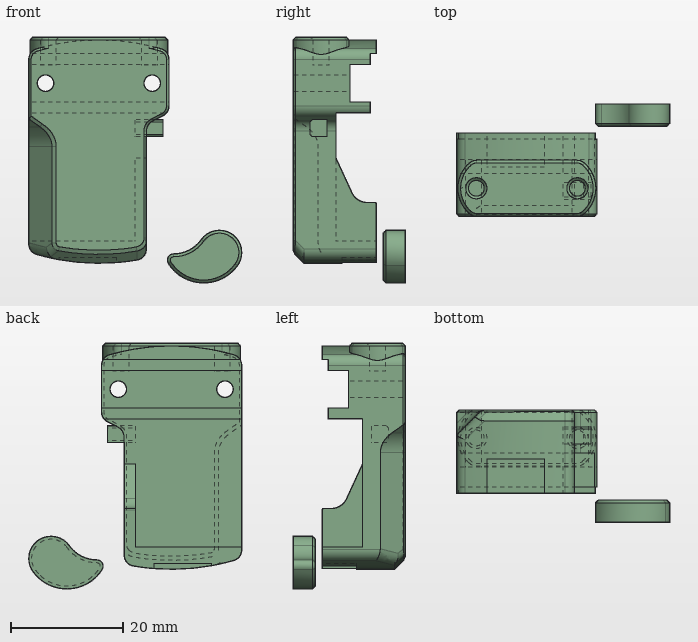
import cadquery as cq
import math


WIDTH = 25.0
CREST_HEIGHT = 39.8
CROWN = 2.0
CORNER_RADIUS = 2.0
GRIP_WIDTH = 21.0
SHOULDER_TOP = 26.85
SHOULDER_BOTTOM = 24.8

DEPTH = 14.85
LIP_BOTTOM = 37.35
TAB_DEPTH = 13.75
SLOT_DEPTH = 10.15
SLOT_TOP = 35.4
SLOT_BOTTOM = 28.78
TAB_BOTTOM = 26.8
GRIP_DEPTH = 7.65
REST_HEIGHT = 10.85
REST_SLOPE_TOP = 18.75
REST_SLOPE_RUN = 3.65
REST_RADIUS = 3.0
REST_EDGE_RADIUS = 0.25

SHELF_HEIGHT = 4.0
WALL = 2.0
RECESS_WIDTH = 10.25
RECESS_LENGTH = 6.1
RECESS_HEIGHT = 1.0

BOTTOM_BEVEL = 1.93
FRONT_BEVEL = 0.45

SCOOP_LEG = 4.45
SCOOP_TOP = 26.0
SCOOP_RADIUS = 5.0
SCOOP_FILLET = 2.0

PLATFORM_DEPTH = 10.0
PLATFORM_INSET = 0.2
PLATFORM_END_RADIUS = 6.0
PLATFORM_CORNER_RADIUS = 2.0
PLATFORM_BEVEL = 0.5
PLATFORM_HEIGHT = 4.4

TOP_HOLE_DIAMETER = 2.8
TOP_HOLE_SPACING = 18.0
TOP_HOLE_DEPTH = 5.0
TOP_HOLE_BEVEL = 0.5
FRONT_HOLE_DIAMETER = 2.9
FRONT_HOLE_SPACING = 19.0
FRONT_HOLE_HEIGHT = 32.1

BUTTON_SIZE = 3.02
BUTTON_END = 23.95
BUTTON_FRONT = 3.02
BUTTON_HEIGHT = 24.1
BUTTON_BEVEL = 0.4

LEVER_FRONT = 16.05
LEVER_THICKNESS = 4.0
LEVER_BEVEL = 0.53
HEAD_X = 34.0
HEAD_Z = 1.93
HEAD_RADIUS = 4.0
BELLY_RADIUS = 7.45
BELLY_BOTTOM = -3.5
TIP_X = 25.85
TIP_RADIUS = 1.15
HOLLOW_RADIUS = 6.0

MID_X = WIDTH / 2
MID_HEIGHT = CREST_HEIGHT / 2
TOP_Z = CREST_HEIGHT + PLATFORM_BEVEL
MARGIN = 0.05
ARC_RADIUS = (MID_X**2 + CROWN**2) / (2 * CROWN)


def crown_fall(x):
    """Fall of the top or bottom arc below its crest at x."""
    return ARC_RADIUS - math.sqrt(ARC_RADIUS**2 - (x - MID_X) ** 2)


def edges_in_box(body, low, high):
    """The edges whose centers lie between two opposite box corners."""
    return body.edges(cq.selectors.BoxSelector(low, high))


def edges_near(body, y, z):
    """The edges along X at one place of the YZ profile."""
    return edges_in_box(body, (0, y - MARGIN, z - MARGIN), (WIDTH, y + MARGIN, z + MARGIN))


def outline_block():
    """The housing outline through the whole depth, rounded except at its lower left corner."""
    grip_mid = GRIP_WIDTH / 2
    block = (
        cq.Workplane("XZ")
        .moveTo(0, CROWN)
        .threePointArc((grip_mid, crown_fall(grip_mid)), (GRIP_WIDTH, crown_fall(GRIP_WIDTH)))
        .lineTo(GRIP_WIDTH, SHOULDER_BOTTOM)
        .lineTo(WIDTH, SHOULDER_TOP)
        .lineTo(WIDTH, CREST_HEIGHT - CROWN)
        .threePointArc((MID_X, CREST_HEIGHT), (0, CREST_HEIGHT - CROWN))
        .close()
        .extrude(-DEPTH)
    )
    lower_left = cq.selectors.BoxSelector((-MARGIN, 0, 0), (MARGIN, DEPTH, MID_HEIGHT))
    return block.edges(cq.selectors.StringSyntaxSelector("|Y") - lower_left).fillet(CORNER_RADIUS)


def bevel_bottom(block):
    """Raise the bottom outline toward the front at 45 degrees."""
    outline = block.faces("<Y").val().translate(cq.Vector(0, BOTTOM_BEVEL, 0))
    slanted = cq.Solid.extrudeLinear(outline, cq.Vector(0, -BOTTOM_BEVEL, BOTTOM_BEVEL))
    lower_front = cq.Workplane().box(WIDTH, BOTTOM_BEVEL, MID_HEIGHT, centered=False)
    return block.cut(lower_front.cut(cq.Workplane(slanted)))


def cut_scoop(block):
    """Cut the left front corner at 45 degrees, running out at the top in an arc and a slope."""
    depth = SCOOP_LEG / math.sqrt(2)
    sweep = math.radians(45)
    mid_angle = sweep / 2
    slope_end = depth - SCOOP_RADIUS * (1 - math.cos(sweep))
    arc_bottom = SCOOP_TOP - slope_end - SCOOP_RADIUS * math.sin(sweep)
    arc_mid = (
        depth - SCOOP_RADIUS * (1 - math.cos(mid_angle)),
        arc_bottom + SCOOP_RADIUS * math.sin(mid_angle),
    )
    into_corner = cq.Plane(origin=(0, 0, 0), xDir=(1, 1, 0), normal=(1, -1, 0))
    scoop = (
        cq.Workplane(into_corner)
        .moveTo(-depth, -CREST_HEIGHT)
        .lineTo(depth, -CREST_HEIGHT)
        .lineTo(depth, arc_bottom)
        .threePointArc(arc_mid, (slope_end, SCOOP_TOP - slope_end))
        .lineTo(-depth, SCOOP_TOP + depth)
        .close()
        .extrude(WIDTH, both=True)
    )
    return block.cut(scoop)


def round_bottom_left(block):
    """Round the lower left edge and the bottom end of the scoop in one chain."""
    left_edge = edges_in_box(block, (-MARGIN, GRIP_DEPTH, 0), (MARGIN, DEPTH, CROWN + MARGIN))
    scoop_end = edges_in_box(block, (MARGIN, MARGIN, 0), (SCOOP_LEG, SCOOP_LEG, SCOOP_LEG))
    return block.newObject(left_edge.vals() + scoop_end.vals()).fillet(SCOOP_FILLET)


def bevel_front(block):
    """Bevel the whole rim of the front face."""
    return block.faces("<Y").edges().chamfer(FRONT_BEVEL)


def side_profile():
    """The depth profile through the whole width: lip, tabs, slot and the low right wall."""
    flat_start = GRIP_DEPTH + REST_SLOPE_RUN
    profile = (
        cq.Workplane("YZ")
        .lineTo(DEPTH, 0)
        .lineTo(DEPTH, REST_HEIGHT)
        .lineTo(flat_start, REST_HEIGHT)
        .lineTo(GRIP_DEPTH, REST_SLOPE_TOP)
        .lineTo(GRIP_DEPTH, TAB_BOTTOM)
        .lineTo(TAB_DEPTH, TAB_BOTTOM)
        .lineTo(TAB_DEPTH, SLOT_BOTTOM)
        .lineTo(SLOT_DEPTH, SLOT_BOTTOM)
        .lineTo(SLOT_DEPTH, SLOT_TOP)
        .lineTo(TAB_DEPTH, SLOT_TOP)
        .lineTo(TAB_DEPTH, LIP_BOTTOM)
        .lineTo(DEPTH, LIP_BOTTOM)
        .lineTo(DEPTH, CREST_HEIGHT)
        .lineTo(0, CREST_HEIGHT)
        .close()
        .extrude(WIDTH)
    )
    profile = edges_near(profile, flat_start, REST_HEIGHT).fillet(REST_RADIUS)
    return edges_near(profile, DEPTH, REST_HEIGHT).fillet(REST_EDGE_RADIUS)


def back_pocket():
    """Space that opens the grip to the left and back, leaving the shelf and the right wall."""
    width = GRIP_WIDTH - WALL
    height = TAB_BOTTOM - SHELF_HEIGHT
    pocket = cq.Workplane().box(width, DEPTH - GRIP_DEPTH, height, centered=False)
    return pocket.translate((0, GRIP_DEPTH, SHELF_HEIGHT))


def bottom_recess():
    """Shallow recess in the bottom, open at the back."""
    left = (GRIP_WIDTH - RECESS_WIDTH) / 2
    recess = cq.Workplane().box(RECESS_WIDTH, RECESS_LENGTH, RECESS_HEIGHT, centered=False)
    return recess.translate((left, DEPTH - RECESS_LENGTH, 0))


def platform():
    """Raised top plate with bulging ends and a beveled top rim."""
    half_depth = PLATFORM_DEPTH / 2
    end_center = PLATFORM_INSET + PLATFORM_END_RADIUS
    corner = end_center - math.sqrt(PLATFORM_END_RADIUS**2 - half_depth**2)
    plate = (
        cq.Workplane("XY", origin=(0, 0, TOP_Z - PLATFORM_HEIGHT))
        .moveTo(corner, 0)
        .lineTo(WIDTH - corner, 0)
        .threePointArc((WIDTH - PLATFORM_INSET, half_depth), (WIDTH - corner, PLATFORM_DEPTH))
        .lineTo(corner, PLATFORM_DEPTH)
        .threePointArc((PLATFORM_INSET, half_depth), (corner, 0))
        .close()
        .extrude(PLATFORM_HEIGHT)
    )
    plate = plate.edges("|Z").fillet(PLATFORM_CORNER_RADIUS)
    return plate.faces(">Z").edges().chamfer(PLATFORM_BEVEL)


def top_holes():
    """Blind holes with beveled mouths, one at each end of the platform."""
    radius = TOP_HOLE_DIAMETER / 2
    mouth = radius + TOP_HOLE_BEVEL
    hole = (
        cq.Workplane("XZ")
        .lineTo(mouth, 0)
        .lineTo(radius, -TOP_HOLE_BEVEL)
        .lineTo(radius, -TOP_HOLE_DEPTH)
        .lineTo(0, -TOP_HOLE_DEPTH)
        .close()
        .revolve(360, (0, 0, 0), (0, 1, 0))
    )
    holes = cq.Workplane()
    for side in (-1, 1):
        x = MID_X + side * TOP_HOLE_SPACING / 2
        holes = holes.add(hole.translate((x, PLATFORM_DEPTH / 2, TOP_Z)))
    return holes.combine()


def front_holes():
    """Holes from the front face through to the slot."""
    return (
        cq.Workplane("XZ", origin=(MID_X, 0, FRONT_HOLE_HEIGHT))
        .rarray(FRONT_HOLE_SPACING, 0.45, 2, 1)
        .circle(FRONT_HOLE_DIAMETER / 2)
        .extrude(-DEPTH)
    )


def make_button():
    """Square bar through the right wall, beveled along its front edges."""
    length = BUTTON_END - GRIP_WIDTH + WALL
    bar = cq.Workplane().box(length, BUTTON_SIZE, BUTTON_SIZE, centered=(False, False, True))
    bar = bar.faces("<Y").edges("|X").chamfer(BUTTON_BEVEL)
    return bar.translate((GRIP_WIDTH - WALL, BUTTON_FRONT, BUTTON_HEIGHT))


def make_housing(button):
    """The housing, with a socket for the button."""
    body = bevel_front(round_bottom_left(cut_scoop(bevel_bottom(outline_block()))))
    body = body.intersect(side_profile()).union(platform())
    for space in (back_pocket(), bottom_recess(), top_holes(), front_holes(), button):
        body = body.cut(space)
    return body.solids()


def point_on(center, radius, angle):
    """Point on a circle at an angle in radians from +X toward +Z."""
    return (center[0] + radius * math.cos(angle), center[1] + radius * math.sin(angle))


def toward(start, target, distance):
    """Point at a distance from start along the line to target."""
    share = distance / math.dist(start, target)
    return (start[0] + share * (target[0] - start[0]), start[1] + share * (target[1] - start[1]))


def make_lever():
    """Comma-shaped lever: a round head and a belly arc running out to a small rounded tip."""
    head = (HEAD_X, HEAD_Z)
    belly_z = BELLY_BOTTOM + BELLY_RADIUS
    belly_x = HEAD_X - math.sqrt((BELLY_RADIUS - HEAD_RADIUS) ** 2 - (belly_z - HEAD_Z) ** 2)
    belly = (belly_x, belly_z)
    tip_z = belly_z - math.sqrt((BELLY_RADIUS - TIP_RADIUS) ** 2 - (belly_x - TIP_X) ** 2)
    tip = (TIP_X, tip_z)

    span = math.dist(tip, head)
    to_tip = HOLLOW_RADIUS + TIP_RADIUS
    to_head = HOLLOW_RADIUS + HEAD_RADIUS
    angle_at_tip = math.acos((to_tip**2 + span**2 - to_head**2) / (2 * to_tip * span))
    tip_to_head = math.atan2(head[1] - tip[1], head[0] - tip[0])
    hollow = point_on(tip, to_tip, tip_to_head + angle_at_tip)

    head_start = toward(head, hollow, HEAD_RADIUS)
    head_end = toward(head, belly, -HEAD_RADIUS)
    tip_start = toward(tip, belly, -TIP_RADIUS)
    tip_end = toward(tip, hollow, TIP_RADIUS)
    chord_mid = toward(tip_end, head_start, math.dist(tip_end, head_start) / 2)
    hollow_mid = toward(hollow, chord_mid, HOLLOW_RADIUS)
    lever = (
        cq.Workplane("XZ", origin=(0, LEVER_FRONT, 0))
        .moveTo(*head_start)
        .threePointArc((HEAD_X + HEAD_RADIUS, HEAD_Z), head_end)
        .threePointArc((belly_x, BELLY_BOTTOM), tip_start)
        .threePointArc((TIP_X - TIP_RADIUS, tip_z), tip_end)
        .threePointArc(hollow_mid, head_start)
        .close()
        .extrude(-LEVER_THICKNESS)
    )
    return lever.faces("<Y").edges().chamfer(LEVER_BEVEL)


button = make_button()
housing = make_housing(button)
lever = make_lever()
result = cq.Compound.makeCompound([housing.val(), button.val(), lever.val()])